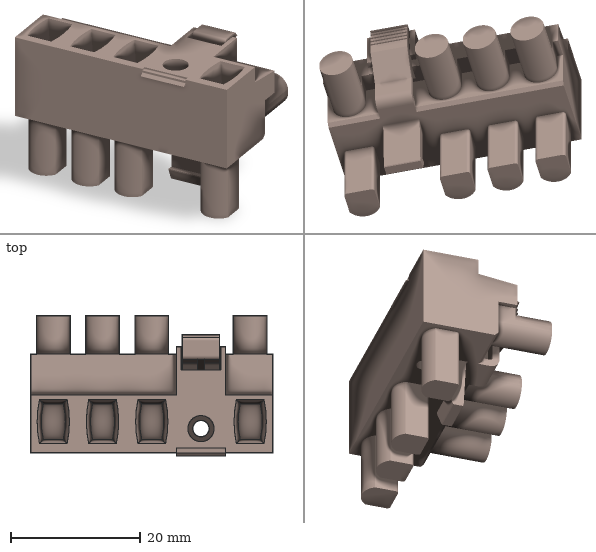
import cadquery as cq


pole_pitch = 7.62
pole_count = 5
latch_pole = 3
end_margin = 3.5
pole_centers = [end_margin + i * pole_pitch for i in range(pole_count)]
latch_x = pole_centers[latch_pole]
contact_centers = [x for i, x in enumerate(pole_centers) if i != latch_pole]

length = 2 * end_margin + (pole_count - 1) * pole_pitch
height = 13.6
lower_rear = 12.2
upper_rear = 15.3
overhang_height = 6.4
shoulder_front = 9.0
shoulder_front_height = 10.95
shoulder_rear_height = 10.2
bottom_edge_chamfer = 0.55

guard_width = pole_pitch
guard_rear = 16.45
guard_bottom = 7.9
guard_foot_rear = 15.4

ridge_width = pole_pitch
ridge_reach = 0.49
ridge_top = 13.0
ridge_bottom = 12.55
notch_depth = 0.25
notch_length = 0.73

screw_y = 3.76
screw_diameter = 2.5
screw_head_diameter = 4.04
screw_head_depth = 5.0

pocket_front = 1.45
pocket_rear = 8.23
pocket_end_half = 2.14
pocket_mid_half = 2.5
pocket_inset = 0.64
pocket_end_inset = 0.6
pocket_depth = 3.6

sleeve_half = 2.42
sleeve_front = 0.97
sleeve_flat_front = 2.37
sleeve_rear = 6.26
sleeve_corner_radius = 0.47
sleeve_length = 9.8

overall_depth = 21.75
rear_sleeve_radius = 2.67
rear_sleeve_half = 2.625
rear_sleeve_z = overhang_height - rear_sleeve_radius
rear_sleeve_end = overall_depth - ridge_reach

lever_width = 5.8
lever_top = 13.85
grip_rear = 17.85
grip_front = 16.65
grip_bottom = 8.5
grip_inner_bottom = 8.7
lip_front = 14.47
lip_rear = 15.6
lip_radius = 0.55
lip_bottom = 11.5
crown_underside = 12.8
crown_radius = 0.5
spine_rear = 15.05
spine_front = 13.95
spine_top = 4.2
spine_inner_top = 4.85
spine_radius = 1.5
spine_inner_radius = 0.45
foot_thickness = 1.2
hook_rear = 9.62
hook_front = 7.7
hook_root_radius = 0.5
hook_tip_rear = 9.22
barb_height = -6.5
barb_tip_height = -6.42
barb_tip_face = 0.2
barb_reach = 0.97
hook_bottom = -8.5
hook_bottom_front = 7.6
hook_tip_chamfer = 0.12

top_tooth_height = 12.98
top_tooth_reach = 0.46
tooth_reach = 0.25
first_tooth_height = 12.36
tooth_pitch = 0.735
tooth_count = 4

rib_width = 1.1
rib_top = 10.5
rib_front_height = 3.0

channel_width = 6.1
channel_front = 12.87


def extrude_along_x(profile, center_x, width):
    """Extrude a closed YZ profile symmetrically about center_x."""
    return profile.extrude(width).translate((center_x - width / 2, 0, 0))


def box_between(x_center, width, y_front, y_rear, z_bottom, z_top):
    """Box centred on x_center and given by its limits in Y and Z."""
    return (
        cq.Workplane("XY")
        .box(width, y_rear - y_front, z_top - z_bottom, centered=(True, False, False))
        .translate((x_center, y_front, z_bottom))
    )


def housing_block():
    profile = (
        cq.Workplane("YZ")
        .moveTo(0, 0)
        .lineTo(lower_rear - bottom_edge_chamfer, 0)
        .lineTo(lower_rear, bottom_edge_chamfer)
        .lineTo(lower_rear, overhang_height)
        .lineTo(upper_rear, overhang_height)
        .lineTo(upper_rear, shoulder_rear_height)
        .lineTo(shoulder_front, shoulder_front_height)
        .lineTo(shoulder_front, height)
        .lineTo(0, height)
        .close()
    )
    return extrude_along_x(profile, length / 2, length)


def guard_block():
    upper = box_between(latch_x, guard_width, shoulder_front, guard_rear, guard_bottom, height)
    foot = box_between(latch_x, guard_width, lower_rear, guard_foot_rear, overhang_height, guard_bottom)
    return upper.union(foot)


def snap_ridge():
    profile = (
        cq.Workplane("YZ")
        .moveTo(0, ridge_top)
        .lineTo(-ridge_reach, ridge_bottom)
        .lineTo(0, ridge_bottom)
        .close()
    )
    return extrude_along_x(profile, latch_x, ridge_width)


def lower_sleeve(center_x):
    """Flat-sided sleeve under the housing, with an arched front and rounded rear corners."""
    return (
        cq.Workplane("XY")
        .moveTo(center_x - sleeve_half, sleeve_flat_front)
        .threePointArc((center_x, sleeve_front), (center_x + sleeve_half, sleeve_flat_front))
        .lineTo(center_x + sleeve_half, sleeve_rear)
        .lineTo(center_x - sleeve_half, sleeve_rear)
        .close()
        .extrude(-sleeve_length)
        .edges("|Z and >Y")
        .fillet(sleeve_corner_radius)
    )


def rear_sleeve(center_x):
    """Round sleeve with flattened sides, joined to the overhang by a saddle of the same width."""
    width = 2 * rear_sleeve_half
    sleeve_length_y = rear_sleeve_end - lower_rear
    top = rear_sleeve_z + rear_sleeve_radius
    bottom = rear_sleeve_z - rear_sleeve_radius
    barrel = (
        cq.Workplane("XZ", origin=(center_x, lower_rear, rear_sleeve_z))
        .circle(rear_sleeve_radius)
        .extrude(-sleeve_length_y)
        .intersect(box_between(center_x, width, lower_rear, rear_sleeve_end, bottom, top))
    )
    saddle = box_between(center_x, width, lower_rear, upper_rear, rear_sleeve_z, overhang_height)
    return barrel.union(saddle)


def wire_pocket(center_x):
    """Tapered pocket with bowed long sides."""

    def section(z, inset, end_inset):
        front = pocket_front + inset
        rear = pocket_rear - inset
        middle = (front + rear) / 2
        end_half = pocket_end_half - end_inset
        mid_half = pocket_mid_half - inset
        return (
            cq.Workplane("XY", origin=(center_x, 0, z))
            .moveTo(-end_half, front)
            .lineTo(end_half, front)
            .threePointArc((mid_half, middle), (end_half, rear))
            .lineTo(-end_half, rear)
            .threePointArc((-mid_half, middle), (-end_half, front))
            .close()
            .wires()
            .val()
        )

    floor = section(height - pocket_depth, pocket_inset, pocket_end_inset)
    mouth = section(height, 0, 0)
    return cq.Workplane(cq.Solid.makeLoft([floor, mouth], True))


def screw_hole():
    origin = (latch_x, screw_y, height)
    shank = cq.Workplane("XY", origin=origin).circle(screw_diameter / 2).extrude(-height)
    head = cq.Workplane("XY", origin=origin).circle(screw_head_diameter / 2).extrude(-screw_head_depth)
    return shank.union(head)


def lever_channel():
    """Shaft around the lever spine, open to the rear, and the recess that seats the lever foot."""
    shaft = box_between(latch_x, channel_width, channel_front, guard_rear, 0, height)
    recess = box_between(latch_x, lever_width, hook_front, channel_front, 0, foot_thickness)
    return shaft.union(recess)


def build_housing():
    body = housing_block().union(guard_block()).union(snap_ridge())
    for x in contact_centers:
        body = body.union(lower_sleeve(x)).union(rear_sleeve(x)).cut(wire_pocket(x))
    notch = box_between(latch_x, ridge_width, 0, notch_length, height - notch_depth, height)
    return body.cut(notch).cut(screw_hole()).cut(lever_channel())


def lever_profile():
    """Side outline of the lever: hanging lip, grip, slanted neck, spine, foot and hook."""
    return (
        cq.Workplane("YZ")
        .moveTo(lip_front + lip_radius, lever_top)
        .lineTo(grip_rear - crown_radius, lever_top)
        .radiusArc((grip_rear, lever_top - crown_radius), crown_radius)
        .lineTo(grip_rear, grip_bottom)
        .lineTo(spine_rear, spine_top)
        .lineTo(spine_rear, spine_radius)
        .radiusArc((spine_rear - spine_radius, 0), spine_radius)
        .lineTo(hook_rear + hook_root_radius, 0)
        .radiusArc((hook_rear, -hook_root_radius), -hook_root_radius)
        .lineTo(hook_tip_rear, hook_bottom + hook_tip_chamfer)
        .lineTo(hook_tip_rear - hook_tip_chamfer, hook_bottom)
        .lineTo(hook_bottom_front, hook_bottom)
        .lineTo(hook_bottom_front - hook_tip_chamfer, hook_bottom + hook_tip_chamfer)
        .lineTo(hook_front - barb_reach, barb_tip_height - barb_tip_face)
        .lineTo(hook_front - barb_reach, barb_tip_height)
        .lineTo(hook_front, barb_height)
        .lineTo(hook_front, foot_thickness)
        .lineTo(spine_front - spine_inner_radius, foot_thickness)
        .radiusArc((spine_front, foot_thickness + spine_inner_radius), -spine_inner_radius)
        .lineTo(spine_front, spine_inner_top)
        .lineTo(grip_front, grip_inner_bottom)
        .lineTo(grip_front, crown_underside)
        .lineTo(lip_rear, crown_underside)
        .lineTo(lip_rear, lip_bottom)
        .lineTo(lip_front, lip_bottom)
        .lineTo(lip_front, lever_top - lip_radius)
        .radiusArc((lip_front + lip_radius, lever_top), lip_radius)
        .close()
    )


def grip_tooth(tip_height, reach):
    """Saw tooth with a flat underside and a 45 degree upper flank."""
    profile = (
        cq.Workplane("YZ")
        .moveTo(grip_rear, tip_height)
        .lineTo(grip_rear + reach, tip_height)
        .lineTo(grip_rear, tip_height + reach)
        .close()
    )
    return extrude_along_x(profile, latch_x, lever_width)


def lever_rib():
    profile = (
        cq.Workplane("YZ")
        .moveTo(grip_front, rib_top)
        .lineTo(channel_front, rib_front_height)
        .lineTo(channel_front, foot_thickness)
        .lineTo(spine_front, foot_thickness)
        .lineTo(spine_front, spine_inner_top)
        .lineTo(grip_front, grip_inner_bottom)
        .close()
    )
    return extrude_along_x(profile, latch_x, rib_width)


def build_lever():
    body = extrude_along_x(lever_profile(), latch_x, lever_width)
    body = body.union(grip_tooth(top_tooth_height, top_tooth_reach))
    for i in range(tooth_count):
        body = body.union(grip_tooth(first_tooth_height - i * tooth_pitch, tooth_reach))
    return body.union(lever_rib())


housing = build_housing()
latch_lever = build_lever()

result = cq.Compound.makeCompound([housing.solids().val(), latch_lever.solids().val()])